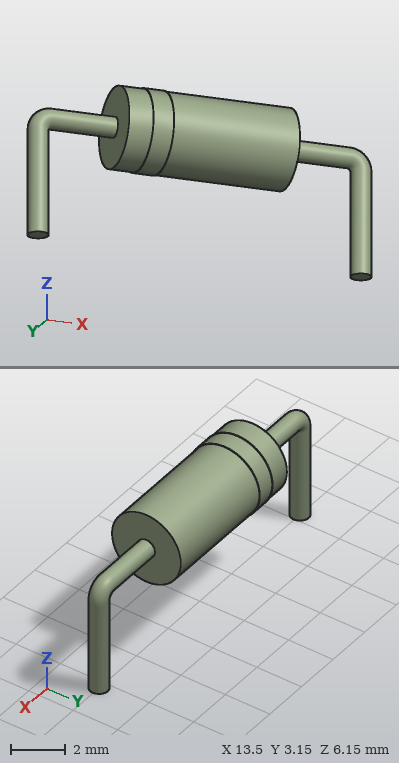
import cadquery as cq

overall_length = 13.48
lead_diameter = 0.78
bend_radius = 0.49

body_diameter = 3.1
body_length = 6.71
band_diameter = 3.15
band_width = 0.81
band_offset = 0.95

overall_height = 6.15
axis_height = overall_height - band_diameter / 2
lead_x = (overall_length - lead_diameter) / 2


def cylinder_along_x(diameter, start_x, length):
    """Cylinder on the body axis, running toward +X from start_x."""
    plane = cq.Workplane("YZ", origin=(start_x, 0, axis_height))
    return plane.circle(diameter / 2).extrude(length)


def bent_lead():
    """One continuous wire through the body, bent down at both ends."""
    straight_end_x = lead_x - bend_radius
    bend_start_z = axis_height - bend_radius
    path = (
        cq.Workplane("XZ")
        .moveTo(-lead_x, 0)
        .lineTo(-lead_x, bend_start_z)
        .tangentArcPoint((-straight_end_x, axis_height), relative=False)
        .lineTo(straight_end_x, axis_height)
        .tangentArcPoint((lead_x, bend_start_z), relative=False)
        .lineTo(lead_x, 0)
    )
    profile = cq.Workplane("XY", origin=(-lead_x, 0, 0)).circle(lead_diameter / 2)
    return profile.sweep(path)


body_start_x = -body_length / 2
body = cylinder_along_x(body_diameter, body_start_x, body_length)
band = cylinder_along_x(band_diameter, body_start_x + band_offset, band_width)

result = body.union(band).union(bent_lead())